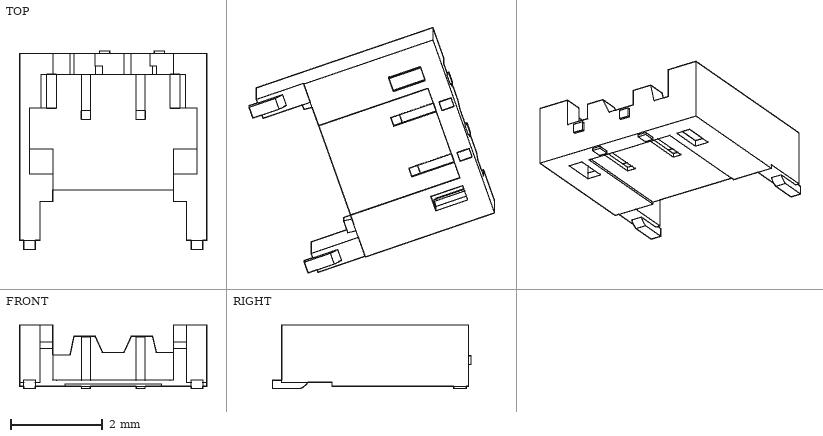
import cadquery as cq


width = 4.1
length = 4.1
height = 1.35
half_width = width / 2
y_back = length / 2
y_front = -length / 2

floor_thickness = 0.14
floor_length = 3.0
back_wall_thickness = 0.46
y_floor_front = y_back - floor_length
y_wall_inner = y_back - back_wall_thickness

opening_half_width = 1.32
rear_pocket_half_width = 1.58
rear_pocket_end = 1.2
side_pocket_half_width = 1.83
lug_ramp_start = 2.1
lug_ramp_end = 2.65
lug_ramp_low_z = 0.78
lug_front = 3.25
lug_undercut_low_z = 0.83
lug_undercut_high_z = 0.975
lug_undercut_hollow = 0.015
leg_thickness = 0.45
leg_clearance = 0.09
y_rear_pocket_end = y_back - rear_pocket_end
y_lug_ramp_start = y_back - lug_ramp_start
y_lug_ramp_end = y_back - lug_ramp_end
y_lug_front = y_back - lug_front

ledge_inner_x = 1.46
ledge_bottom_z = 0.46
ledge_top_z = 0.66
side_slot_inner_x = 1.245

left_shelf_z = 0.69
valley_z = 0.745
tooth_top_z = 1.1
valley_half_width = 0.232
tooth_inner_x = 0.394
tooth_outer_x = 0.863
tooth_base_x = 0.948

contact_pitch = 1.2
contact_xs = (-contact_pitch / 2, contact_pitch / 2)
contact_thickness = 0.2
blade_reach = 1.255
blade_top_z = 1.08
contact_slot_reach = 1.45
pad_near = 0.05
pad_far = 0.33
solder_drop = 0.05

relief_offset = 0.2
relief_width = 0.42
relief_depth = 0.28
nub_width = 0.23
nub_protrusion = 0.05
nub_bottom_z = 0.475
nub_top_z = 0.675

foot_width = 0.255
foot_center_x = 1.835
foot_protrusion = 0.2
foot_top_z = 0.14
foot_heel_top = 3.52
foot_heel_bottom = 3.69
foot_heel_bulge = 0.015

recess_half_width = 1.06
recess_depth = 0.05


def block(x_range, y_range, z_range):
    """Axis-aligned box spanning three (low, high) ranges."""
    (x0, x1), (y0, y1), (z0, z1) = x_range, y_range, z_range
    return cq.Workplane("XY").box(x1 - x0, y1 - y0, z1 - z0, centered=False).translate((x0, y0, z0))


def extrude_along_x(points_yz, x_range):
    """Prism along X with the given Y-Z outline."""
    x0, x1 = x_range
    return cq.Workplane("YZ").polyline(points_yz).close().extrude(x1 - x0).translate((x0, 0, 0))


def centered_range(center, size):
    return (center - size / 2, center + size / 2)


def make_side_wall():
    """Right-hand wall with its rear corner, pockets, latch lug and leg."""
    outline = [
        (half_width, y_back),
        (opening_half_width, y_back),
        (opening_half_width, y_wall_inner),
        (rear_pocket_half_width, y_wall_inner),
        (rear_pocket_half_width, y_rear_pocket_end),
        (side_pocket_half_width, y_rear_pocket_end),
        (side_pocket_half_width, y_lug_ramp_start),
        (opening_half_width, y_lug_ramp_start),
        (opening_half_width, y_lug_front),
        (half_width - leg_thickness, y_lug_front),
        (half_width - leg_thickness, y_front),
        (half_width, y_front),
    ]
    wall = cq.Workplane("XY").polyline(outline).close().extrude(height)

    lug_ramp = extrude_along_x(
        [(y_lug_ramp_start, lug_ramp_low_z), (y_lug_ramp_start, height), (y_lug_ramp_end, height)],
        (opening_half_width, side_pocket_half_width),
    )
    lug_undercut = (
        cq.Workplane("YZ", origin=(opening_half_width, 0, 0))
        .moveTo(y_floor_front, 0)
        .lineTo(y_floor_front, lug_undercut_low_z)
        .sagittaArc((y_lug_front, lug_undercut_high_z), -lug_undercut_hollow)
        .lineTo(y_lug_front, 0)
        .close()
        .extrude(half_width - leg_thickness - opening_half_width)
    )
    under_leg = block(
        (opening_half_width, half_width), (y_front, y_floor_front), (0, leg_clearance)
    )
    ledge = block(
        (ledge_inner_x, rear_pocket_half_width),
        (y_rear_pocket_end, y_wall_inner),
        (ledge_bottom_z, ledge_top_z),
    )
    return wall.cut(lug_ramp).cut(lug_undercut).cut(under_leg).union(ledge)


def make_foot():
    """Solder foot with a rounded heel, under the right-hand leg."""
    y_tip = y_front - foot_protrusion
    y_heel = y_back - foot_heel_top
    return (
        cq.Workplane("YZ", origin=(foot_center_x - foot_width / 2, 0, 0))
        .moveTo(y_heel, foot_top_z)
        .lineTo(y_heel, leg_clearance)
        .sagittaArc((y_back - foot_heel_bottom, -solder_drop), foot_heel_bulge)
        .lineTo(y_tip, -solder_drop)
        .lineTo(y_tip, foot_top_z)
        .close()
        .extrude(foot_width)
    )


def make_floor():
    """Floor plate with side slots, contact slots and the recess underneath."""
    floor_z = (0, floor_thickness)
    floor = block(
        (-side_pocket_half_width, side_pocket_half_width), (y_floor_front, y_back), floor_z
    )
    side_slot_y = (y_rear_pocket_end, y_wall_inner)
    floor = floor.cut(block((side_slot_inner_x, rear_pocket_half_width), side_slot_y, floor_z))
    floor = floor.cut(block((-rear_pocket_half_width, -side_slot_inner_x), side_slot_y, floor_z))
    for x in contact_xs:
        slot_y = (y_back - contact_slot_reach, y_wall_inner)
        floor = floor.cut(block(centered_range(x, contact_thickness), slot_y, floor_z))
    recess = block(
        (-recess_half_width, recess_half_width), (y_floor_front, y_wall_inner), (0, recess_depth)
    )
    return floor.cut(recess)


def make_back_wall():
    """Back wall with two trapezoidal teeth, each relieved on its rear right flank."""
    outline = [
        (-opening_half_width, 0),
        (-opening_half_width, left_shelf_z),
        (-tooth_base_x, left_shelf_z),
        (-tooth_outer_x, tooth_top_z),
        (-tooth_inner_x, tooth_top_z),
        (-valley_half_width, valley_z),
        (valley_half_width, valley_z),
        (tooth_inner_x, tooth_top_z),
        (tooth_outer_x, tooth_top_z),
        (tooth_base_x, valley_z),
        (opening_half_width, valley_z),
        (opening_half_width, 0),
    ]
    wall = cq.Workplane("XZ", origin=(0, y_back, 0)).polyline(outline).close().extrude(back_wall_thickness)
    for x in contact_xs:
        relief_x = (x + relief_offset, x + relief_offset + relief_width)
        relief = block(relief_x, (y_back - relief_depth, y_back), (valley_z, tooth_top_z))
        nub = block(
            centered_range(sum(relief_x) / 2, nub_width),
            (y_back - relief_depth, y_back + nub_protrusion),
            (nub_bottom_z, nub_top_z),
        )
        wall = wall.cut(relief).union(nub)
    return wall


def make_contact(x):
    """Upright contact blade and its solder pad under the back wall."""
    x_range = centered_range(x, contact_thickness)
    blade = block(x_range, (y_back - blade_reach, y_wall_inner), (floor_thickness, blade_top_z))
    pad = block(x_range, (y_back - pad_far, y_back - pad_near), (-solder_drop, floor_thickness))
    return blade, pad


right_side = make_side_wall().union(make_foot())
result = make_floor().union(make_back_wall()).union(right_side).union(right_side.mirror("YZ"))
for contact_x in contact_xs:
    for piece in make_contact(contact_x):
        result = result.union(piece)